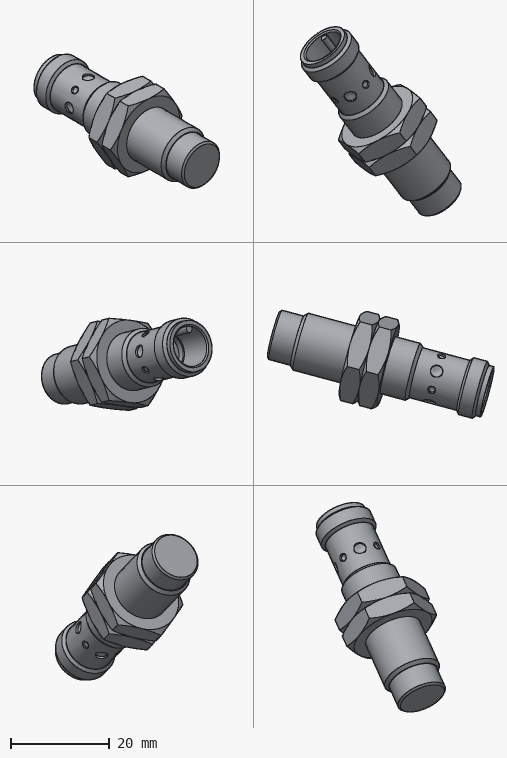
import cadquery as cq
import math


total_length = 45.0
tip_length = 1.0
collar_end = 4.95
collar_chamfer = 0.54
thread_start = 14.95
thread_end = 40.0
thread_chamfer = 0.72
rear_edge_chamfer = 0.4

thread_diameter = 12.0
tip_diameter = 10.6
chamfer_foot_diameter = 10.7
neck_diameter = 10.55
rear_diameter = 10.4

socket_diameter = 8.3
socket_mouth_diameter = 8.9
socket_mouth_depth = 0.3
socket_depth = 8.0
socket_floor_diameter = 7.7
socket_floor_depth = 9.5
key_width = 1.3
key_start = 0.6
key_tip_height = 2.87

ring_x = 10.65
ring_count = 4
dimple_diameter = 2.5
dimple_wall_depth = 0.35
window_diameter = 1.65
window_foot_diameter = 1.3
window_wall_depth = 0.25
drill_point_angle = 140.0

nut_across_flats = 17.0
nut_thickness = 4.0
nut_count = 2
first_nut_x = 20.87
nut_chamfer_angle = 30.0


def sensor_blank():
    """Turned outside shape, with chamfered edges on the collar and the threaded barrel."""
    thread_radius = thread_diameter / 2
    tip_radius = tip_diameter / 2
    neck_radius = neck_diameter / 2
    rear_radius = rear_diameter / 2
    foot_radius = chamfer_foot_diameter / 2
    profile = (
        cq.Workplane("XY")
        .moveTo(0, 0)
        .lineTo(0, tip_radius)
        .lineTo(tip_length, tip_radius)
        .lineTo(tip_length, foot_radius)
        .lineTo(tip_length + collar_chamfer, thread_radius)
        .lineTo(collar_end - collar_chamfer, thread_radius)
        .lineTo(collar_end, foot_radius)
        .lineTo(collar_end, neck_radius)
        .lineTo(thread_start, neck_radius)
        .lineTo(thread_start, foot_radius)
        .lineTo(thread_start + thread_chamfer, thread_radius)
        .lineTo(thread_end - thread_chamfer, thread_radius)
        .lineTo(thread_end, foot_radius)
        .lineTo(thread_end, rear_radius)
        .lineTo(total_length - rear_edge_chamfer, rear_radius)
        .lineTo(total_length, rear_radius - rear_edge_chamfer)
        .lineTo(total_length, 0)
        .close()
    )
    return profile.revolve(360, (0, 0, 0), (1, 0, 0))


def socket_cavity():
    """Stepped bore with a conical mouth, less the coding key at its top."""
    bore_radius = socket_diameter / 2
    floor_radius = socket_floor_diameter / 2
    bore = (
        cq.Workplane("XY")
        .moveTo(0, 0)
        .lineTo(0, socket_mouth_diameter / 2)
        .lineTo(socket_mouth_depth, bore_radius)
        .lineTo(socket_depth, bore_radius)
        .lineTo(socket_depth, floor_radius)
        .lineTo(socket_floor_depth, floor_radius)
        .lineTo(socket_floor_depth, 0)
        .close()
        .revolve(360, (0, 0, 0), (1, 0, 0))
    )
    half_width = key_width / 2
    key_round_height = key_tip_height + half_width
    key = (
        cq.Workplane("YZ", origin=(key_start, 0, 0))
        .moveTo(-half_width, thread_diameter / 2)
        .lineTo(-half_width, key_round_height)
        .threePointArc((0, key_tip_height), (half_width, key_round_height))
        .lineTo(half_width, thread_diameter / 2)
        .close()
        .extrude(socket_floor_depth - key_start)
    )
    return bore.cut(key)


def drilled_recess(rim_diameter, foot_diameter, wall_depth):
    """Cutter for a radial blind hole, sunk into the neck from +Z.

    Its wall runs from the rim diameter to the foot diameter, and a drill point lies below.
    """
    rim_radius = rim_diameter / 2
    foot_radius = foot_diameter / 2
    neck_radius = neck_diameter / 2
    rim_height = math.sqrt(neck_radius**2 - rim_radius**2)
    wall_foot = rim_height - wall_depth
    point_height = wall_foot - foot_radius / math.tan(math.radians(drill_point_angle / 2))
    return (
        cq.Workplane("XZ", origin=(ring_x, 0, 0))
        .moveTo(0, point_height)
        .lineTo(foot_radius, wall_foot)
        .lineTo(rim_radius, rim_height)
        .lineTo(rim_radius, thread_diameter / 2)
        .lineTo(0, thread_diameter / 2)
        .close()
        .revolve(360, (0, 0, 0), (0, 1, 0))
    )


def make_sensor():
    body = sensor_blank().cut(socket_cavity())
    dimple = drilled_recess(dimple_diameter, dimple_diameter, dimple_wall_depth)
    window = drilled_recess(window_diameter, window_foot_diameter, window_wall_depth)
    pitch = 360 / ring_count
    for index in range(ring_count):
        angle = index * pitch
        body = body.cut(dimple.rotate((0, 0, 0), (1, 0, 0), angle))
        body = body.cut(window.rotate((0, 0, 0), (1, 0, 0), angle + pitch / 2))
    return body


def make_nut(start_x):
    """Hexagon nut with flats facing +Z and -Z and its corners chamfered at both ends."""
    corner_diameter = nut_across_flats / math.cos(math.pi / 6)
    start_plane = cq.Workplane("YZ", origin=(start_x, 0, 0))
    hexagon = start_plane.polygon(6, corner_diameter).extrude(nut_thickness)
    bore = start_plane.circle(thread_diameter / 2).extrude(nut_thickness)
    face_radius = nut_across_flats / 2
    corner_radius = corner_diameter / 2
    chamfer_length = (corner_radius - face_radius) * math.tan(math.radians(nut_chamfer_angle))
    end_x = start_x + nut_thickness
    envelope = (
        cq.Workplane("XY")
        .moveTo(start_x, 0)
        .lineTo(start_x, face_radius)
        .lineTo(start_x + chamfer_length, corner_radius)
        .lineTo(end_x - chamfer_length, corner_radius)
        .lineTo(end_x, face_radius)
        .lineTo(end_x, 0)
        .close()
        .revolve(360, (0, 0, 0), (1, 0, 0))
    )
    return hexagon.intersect(envelope).cut(bore)


sensor = make_sensor()
nuts = [make_nut(first_nut_x + index * nut_thickness) for index in range(nut_count)]

result = cq.Compound.makeCompound([sensor.val(), *[nut.val() for nut in nuts]])